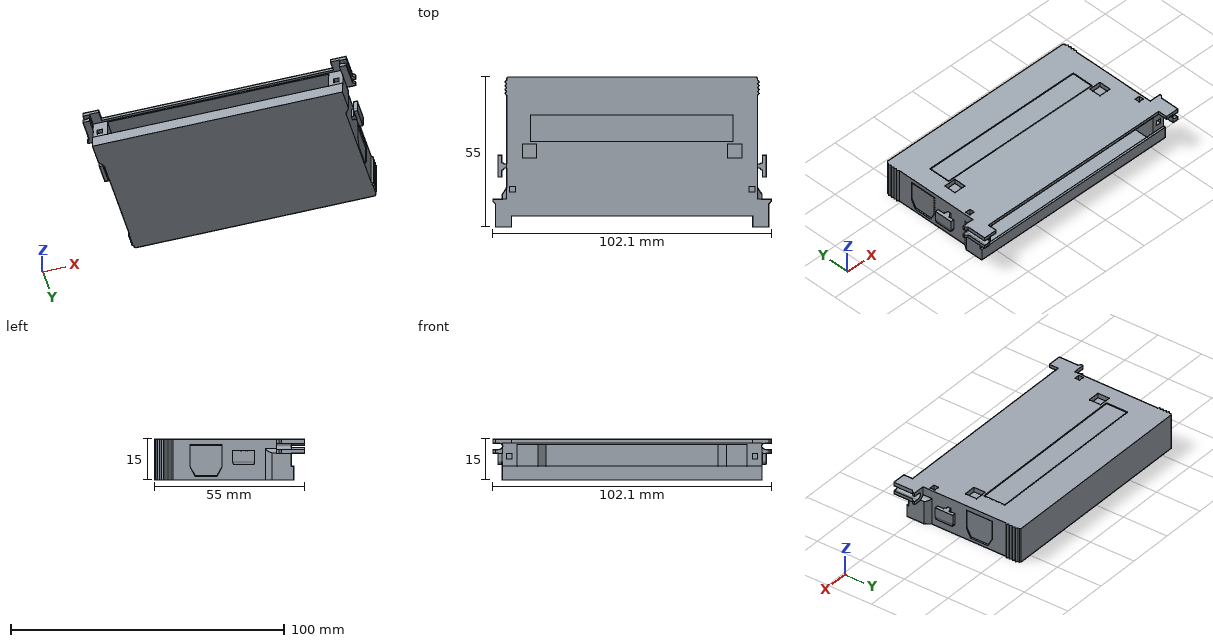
import cadquery as cq
import math

SIDES = (-1, 1)

total_width = 102.05
total_depth = 55.0
height = 15.0

body_width = 92.0
front_y = 4.9
corner_chamfer = 0.5

tooth_count = 4
tooth_pitch = 1.4
tooth_height = 0.6
teeth_start_y = 48.3

wall_width = 95.2
shoulder_y = 12.0
shoulder_end_y = 14.4
cove_radius = 5.5 / 2
cove_x = 48.55
cove_z = 12.55

sill_y = 4.0
sill_height = 5.1

plate_thickness = 1.35
ear_width = 100.2
ear_back_y = 10.25
ear_inner_width = 88.2
tip_straight = 0.8
tip_taper = 0.95

tab_bottom_z = 9.8
tab_inner_x = 47.55
groove_bottom_z = 11.15
groove_top_z = 13.4
groove_radius = 5.5 / 2
groove_floor_x = 49.45
groove_ceiling_x = 49.0
groove_root_x = 47.45
groove_corner_x = 47.78

cavity_width = 84.2
cavity_floor_z = 1.0
cavity_ceiling_z = 13.0
cavity_shoulder_y = 20.0
cavity_mouth_width = 69.0
cavity_back_width = 63.0
cavity_back_y = 23.0

label_size = (74.2, 9.6)
label_center = (-0.15, 36.25)
label_depth = 0.4

large_pocket = 5.2
large_pocket_x = 37.6
large_pocket_y = 27.9
large_pocket_depth = 2.0
small_pocket_size = (2.2, 2.1)
small_pocket_x = 43.9
small_pocket_y = 13.85
small_pocket_depth = 3.0

front_hole = 2.0
front_hole_x = 45.0
front_hole_z = 8.65
front_hole_depth = 3.0

recess_front_y = 30.25
recess_back_y = 42.0
recess_top_z = 13.0
recess_knee_z = 4.9
recess_bottom_z = 1.3
recess_taper = 1.9
recess_depth = 0.4
recess_slope = 0.3

pad_inner_x = 47.75
pad_outer_x = 49.2
pad_front_y = 18.3
pad_back_y = 26.4
pad_bottom_z = 5.7
pad_top_z = 10.8
pad_bevel_height = 0.95
pad_bevel_width = 0.1
pad_end_bevel = 0.3
stem_back_y = 23.2
stem_front_y = 21.6
stem_neck_x = 46.8
stem_foot_x = 47.3
stem_foot_back_y = 23.5
stem_foot_front_y = 20.9


def prism(points, bottom_z, top_z):
    """Upright prism over an XY outline."""
    return cq.Workplane("XY").workplane(offset=bottom_z).polyline(points).close().extrude(top_z - bottom_z)


def block(x_range, y_range, z_range):
    """Box between two limits on each axis, given in any order."""
    (x0, x1), (y0, y1), (z0, z1) = (sorted(limits) for limits in (x_range, y_range, z_range))
    return cq.Workplane("XY").box(x1 - x0, y1 - y0, z1 - z0, centered=False).translate((x0, y0, z0))


def rod(x, z, radius, y_start, y_end):
    """Cylinder along Y."""
    return cq.Workplane("XZ", origin=(x, y_start, z)).circle(radius).extrude(y_start - y_end)


def body():
    half = body_width / 2
    edge = total_depth - corner_chamfer
    return prism(
        [
            (-half, front_y),
            (half, front_y),
            (half, edge),
            (half - corner_chamfer, total_depth),
            (corner_chamfer - half, total_depth),
            (-half, edge),
        ],
        0,
        height,
    )


def grip_teeth(side):
    half = body_width / 2
    points = [(side * half, teeth_start_y)]
    for i in range(tooth_count):
        base_y = teeth_start_y + i * tooth_pitch
        points.append((side * (half + tooth_height), base_y + tooth_pitch / 2))
        points.append((side * half, base_y + tooth_pitch))
    inner_x = side * (half - corner_chamfer)
    points.append((inner_x, points[-1][1]))
    points.append((inner_x, teeth_start_y))
    return prism(points, 0, height)


def front_wall(side):
    """Wider side wall at the front; behind the ear its sloped end is cut down by a cove."""
    inner_x = side * cavity_width / 2
    outer_x = side * wall_width / 2
    body_x = side * body_width / 2
    wall = block((inner_x, outer_x), (front_y, ear_back_y), (0, height))
    shoulder = prism(
        [
            (inner_x, ear_back_y),
            (outer_x, ear_back_y),
            (outer_x, shoulder_y),
            (body_x, shoulder_end_y),
            (inner_x, shoulder_end_y),
        ],
        0,
        cove_z,
    )
    cove = rod(side * cove_x, cove_z, cove_radius, ear_back_y, shoulder_end_y)
    beyond_body = block((body_x, side * total_width / 2), (ear_back_y, shoulder_end_y), (0, height))
    return wall.union(shoulder.cut(cove.intersect(beyond_body)))


def sill():
    half = wall_width / 2
    return block((-half, half), (sill_y, front_y), (0, sill_height))


def ear_outline(side, inner_x):
    """Ear seen from above, with a barb at its back outer corner."""
    tip_x = side * total_width / 2
    outer_x = side * ear_width / 2
    tip_y = ear_back_y - tip_straight
    return [
        (side * inner_x, 0),
        (outer_x, 0),
        (outer_x, tip_y - tip_taper),
        (tip_x, tip_y),
        (tip_x, ear_back_y),
        (side * inner_x, ear_back_y),
    ]


def top_plate():
    half = wall_width / 2
    return block((-half, half), (sill_y, ear_back_y), (height - plate_thickness, height))


def ear(side):
    """Ear of plate thickness inboard and a full block outboard, split by the groove."""
    plate_part = prism(ear_outline(side, ear_inner_width / 2), height - plate_thickness, height)
    outer_block = prism(ear_outline(side, tab_inner_x), tab_bottom_z, height)
    return plate_part.union(outer_block)


def groove_rise(distance):
    """Rise of a groove-sized arc at a distance from its level point."""
    return groove_radius - math.sqrt(groove_radius**2 - distance**2)


def ear_groove(side):
    """Groove with one smooth wall running from its level floor round the root to its level ceiling."""
    floor_rise = groove_rise(groove_floor_x - groove_corner_x)
    ceiling_drop = groove_rise(groove_ceiling_x - groove_corner_x)
    floor_end = (side * groove_floor_x, groove_bottom_z)
    floor_corner = (side * groove_corner_x, groove_bottom_z + floor_rise)
    root = (side * groove_root_x, (groove_bottom_z + groove_top_z) / 2)
    ceiling_corner = (side * groove_corner_x, groove_top_z - ceiling_drop)
    ceiling_end = (side * groove_ceiling_x, groove_top_z)
    open_x = side * total_width
    section = (
        cq.Workplane("XZ")
        .moveTo(open_x, groove_bottom_z)
        .lineTo(*floor_end)
        .spline(
            [floor_corner, root, ceiling_corner, ceiling_end],
            tangents=[(-side, 0), (side, 0)],
            includeCurrent=True,
        )
        .lineTo(open_x, groove_top_z)
        .close()
    )
    return section.extrude(-ear_back_y)


def front_cavity():
    side_x = cavity_width / 2
    mouth_x = cavity_mouth_width / 2
    back_x = cavity_back_width / 2
    return prism(
        [
            (-side_x, front_y),
            (side_x, front_y),
            (side_x, cavity_shoulder_y),
            (mouth_x, cavity_shoulder_y),
            (back_x, cavity_back_y),
            (-back_x, cavity_back_y),
            (-mouth_x, cavity_shoulder_y),
            (-side_x, cavity_shoulder_y),
        ],
        cavity_floor_z,
        cavity_ceiling_z,
    )


def top_pocket(center, size, depth):
    return cq.Workplane("XY", origin=(*center, height)).rect(*size).extrude(-depth)


def front_wall_hole(side):
    plane = cq.Workplane("XZ", origin=(side * front_hole_x, front_y, front_hole_z))
    return plane.rect(front_hole, front_hole).extrude(-front_hole_depth)


def recess_profile(inset):
    """Recess outline in Y and Z, with its top and bottom edges moved inwards by the inset."""
    return [
        (recess_front_y, recess_top_z - inset),
        (recess_back_y, recess_top_z - inset),
        (recess_back_y, recess_knee_z),
        (recess_back_y - recess_taper, recess_bottom_z + inset),
        (recess_front_y + recess_taper, recess_bottom_z + inset),
        (recess_front_y, recess_knee_z),
    ]


def side_recess(side):
    return (
        cq.Workplane("YZ", origin=(side * body_width / 2, 0, 0))
        .polyline(recess_profile(0))
        .close()
        .workplane(offset=-side * recess_depth)
        .polyline(recess_profile(recess_slope))
        .close()
        .loft(ruled=True)
    )


def latch(side):
    bevel_z = pad_bottom_z + pad_bevel_height
    bevel_x = pad_outer_x - pad_bevel_width
    pad = block((side * pad_inner_x, side * pad_outer_x), (pad_front_y, pad_back_y), (bevel_z, pad_top_z))
    toe = (
        cq.Workplane("XY", origin=(0, 0, bevel_z))
        .polyline(
            [
                (side * pad_inner_x, pad_front_y),
                (side * pad_outer_x, pad_front_y),
                (side * pad_outer_x, pad_back_y),
                (side * pad_inner_x, pad_back_y),
            ]
        )
        .close()
        .workplane(offset=-pad_bevel_height)
        .polyline(
            [
                (side * pad_inner_x, pad_front_y + pad_end_bevel),
                (side * bevel_x, pad_front_y + pad_end_bevel),
                (side * bevel_x, pad_back_y - pad_end_bevel),
                (side * pad_inner_x, pad_back_y - pad_end_bevel),
            ]
        )
        .close()
        .loft(ruled=True)
    )
    root_x = body_width / 2 - corner_chamfer
    stem = prism(
        [
            (side * root_x, stem_back_y),
            (side * stem_neck_x, stem_back_y),
            (side * stem_foot_x, stem_foot_back_y),
            (side * pad_inner_x, stem_foot_back_y),
            (side * pad_inner_x, stem_foot_front_y),
            (side * stem_foot_x, stem_foot_front_y),
            (side * stem_neck_x, stem_front_y),
            (side * root_x, stem_front_y),
        ],
        bevel_z,
        pad_top_z,
    )
    return pad.union(toe).union(stem)


result = body().union(sill()).union(top_plate())
for side in SIDES:
    result = result.union(front_wall(side)).union(ear(side))
    result = result.union(grip_teeth(side)).cut(side_recess(side)).union(latch(side))
result = result.cut(front_cavity()).cut(top_pocket(label_center, label_size, label_depth))
for side in SIDES:
    large_center = (side * large_pocket_x, large_pocket_y)
    small_center = (side * small_pocket_x, small_pocket_y)
    result = result.cut(top_pocket(large_center, (large_pocket, large_pocket), large_pocket_depth))
    result = result.cut(top_pocket(small_center, small_pocket_size, small_pocket_depth))
    result = result.cut(front_wall_hole(side)).cut(ear_groove(side))